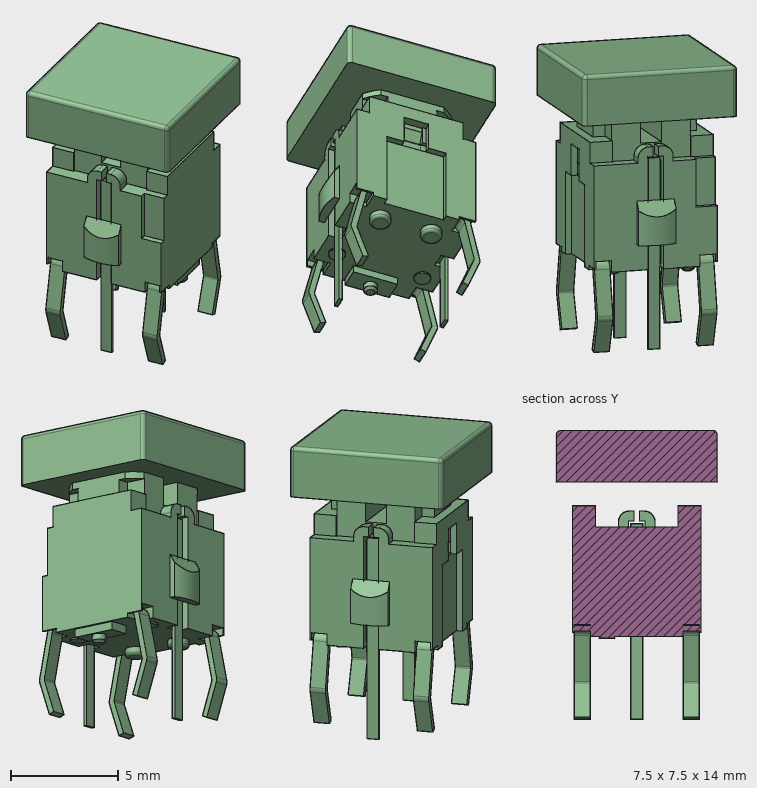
import cadquery as cq
import math


CAP_SIZE = 7.5
CAP_BOTTOM = 7.2
CAP_TOP = 9.6
CAP_ROUND = 0.2

PLUNGER_X = 5.04
PLUNGER_Y = 4.54
PLUNGER_DIAMETER = 5.96
PLUNGER_HEAD_BOTTOM = 6.87
PLUNGER_NOTCH_WIDTH = 1.01
PLUNGER_NOTCH_BOTTOM = 5.9
PLUNGER_NECK_X = 3.84
PLUNGER_NECK_Y = 2.48

BODY_SIZE = 6.0
BODY_HALF = BODY_SIZE / 2
SHOULDER_Z = 5.11
FRAME_TOP = 6.1
FRAME_Y = 4.73
ARCH_WIDTH = 1.71
ARCH_TOP = 5.85
ARCH_RADIUS = 0.5
ARCH_DEPTH = (BODY_SIZE - FRAME_Y) / 2
BASE_THICKNESS = 0.2
CORNER_RECESS_X = 1.97
CORNER_RECESS_BOTTOM = 2.84
WALL_STEP = 0.3

PANEL_WIDTH = 3.0
PANEL_TOP = 3.92
WINDOW_WIDTH = 1.23
WINDOW_TOP = 5.42
LIP_TOP = 4.48
LIP_DEPTH = 0.5
LIP_THICKNESS = 0.05
CAVITY_WIDTH = 1.68
CAVITY_DEPTH = 0.34
LATCH_WIDTH = 0.91
LATCH_TOP = 5.17
LATCH_OFFSET = 0.05
LATCH_ANGLE = 27.0

PIN_WIDTH = 0.56
PIN_THICKNESS = 0.17
PIN_OUTER_Y = 2.76
PIN_TOP = 5.26
LONG_PIN_BOTTOM = -4.4
SHORT_PIN_BOTTOM = -3.85
SLOT_WIDTH = 0.75
SLOT_TOP = 5.38
SLIT_WIDTH = 0.25

WEDGE_WIDTH = 1.82
WEDGE_BOTTOM = 1.23
WEDGE_TOP = 3.3
WEDGE_EDGE_Z = 2.59
WEDGE_REACH = 3.45
WEDGE_SAG = 0.18

LEAD_WIDTH = 0.75
LEAD_THICKNESS = 0.3
LEAD_X = 2.53
LEAD_TOP = 0.55
LEAD_ROOT_Y = 1.96
LEAD_KNEE_Y = 3.28
LEAD_KNEE_Z = -2.14
LEAD_BOTTOM = SHORT_PIN_BOTTOM
LEAD_UPPER_ANGLE = 12.5
LEAD_LOWER_ANGLE = 19.7
LEAD_BEND_RADIUS = 0.27
LEAD_KNEE_RADIUS = 0.14
LEAD_NOTCH_Y = 2.17

STUD_DIAMETER = 1.0
STUD_X = -1.74
STUD_Y = 1.29
STUD_HEIGHT = 0.39
STUD_ROUND = 0.14
BAR_X_MIN = 1.88
BAR_X_MAX = 2.88
BAR_WIDTH = 2.24
PEG_DIAMETER = 0.66
PEG_X = 2.48
PEG_BOTTOM = -0.8
PEG_CHAMFER = 0.13
PAD_DIAMETER = 0.8
PAD_X = 1.39
PAD_Y = 2.15
PAD_HEIGHT = 0.08


def block(x_min, x_max, y_min, y_max, z_min, z_max):
    """Box given by its limits along each axis."""
    size = (x_max - x_min, y_max - y_min, z_max - z_min)
    return cq.Workplane("XY").box(*size, centered=False).translate((x_min, y_min, z_min))


def centered_block(size_x, size_y, z_min, z_max):
    """Box centred on the Z axis."""
    return block(-size_x / 2, size_x / 2, -size_y / 2, size_y / 2, z_min, z_max)


def disc(diameter, x, y, z_min, z_max):
    """Upright cylinder."""
    return cq.Workplane("XY", origin=(x, y, z_min)).circle(diameter / 2).extrude(z_max - z_min)


def both_y(shape):
    """The shape together with its mirror image across the XZ plane."""
    return shape.union(shape.mirror("XZ"))


def both_x(shape):
    """The shape together with its mirror image across the YZ plane."""
    return shape.union(shape.mirror("YZ"))


def make_cap():
    cap = centered_block(CAP_SIZE, CAP_SIZE, CAP_BOTTOM, CAP_TOP)
    return cap.edges("|Z or >Z").fillet(CAP_ROUND)


def make_plunger():
    head = centered_block(PLUNGER_X, PLUNGER_Y, PLUNGER_HEAD_BOTTOM, CAP_BOTTOM)
    head = head.intersect(disc(PLUNGER_DIAMETER, 0, 0, PLUNGER_HEAD_BOTTOM, CAP_BOTTOM))
    stem = centered_block(PLUNGER_NECK_X, PLUNGER_Y, SHOULDER_Z, PLUNGER_HEAD_BOTTOM)
    stem = stem.union(centered_block(PLUNGER_X, PLUNGER_NECK_Y, SHOULDER_Z, PLUNGER_HEAD_BOTTOM))
    notch = centered_block(PLUNGER_NOTCH_WIDTH, BODY_SIZE, PLUNGER_NOTCH_BOTTOM, CAP_BOTTOM)
    return head.union(stem).cut(notch)


def make_arches():
    """Round-shouldered blocks over the pin slots."""
    arch = block(
        -ARCH_WIDTH / 2, ARCH_WIDTH / 2, -BODY_HALF, ARCH_DEPTH - BODY_HALF, SHOULDER_Z, ARCH_TOP
    )
    return both_y(arch.edges("|Y and >Z").fillet(ARCH_RADIUS))


def make_slots():
    """Pin slots, cut deeper at the base and where they cross the arches."""
    front = -BODY_HALF
    floor = PIN_THICKNESS - PIN_OUTER_Y
    back = ARCH_DEPTH - BODY_HALF
    half = SLOT_WIDTH / 2
    slot = block(-half, half, front, floor, 0, SLOT_TOP)
    slot = slot.union(block(-half, half, front, back, 0, BASE_THICKNESS))
    slot = slot.union(block(-half, half, front, back, SHOULDER_Z, SLOT_TOP))
    slot = slot.union(block(-SLIT_WIDTH / 2, SLIT_WIDTH / 2, front, back, SHOULDER_Z, ARCH_TOP))
    return both_y(slot)


def make_lead_notches():
    """Openings at the lower corners that let the leads out of the housing."""
    inner_x = LEAD_X - LEAD_WIDTH / 2
    base = block(inner_x, BODY_HALF, LEAD_NOTCH_Y, BODY_HALF, 0, BASE_THICKNESS)
    outlet = block(inner_x, inner_x + LEAD_WIDTH, LEAD_NOTCH_Y, BODY_HALF, 0, LEAD_TOP)
    return both_x(both_y(base.union(outlet)))


def make_wall_recesses():
    """Panel in the -X wall, with a window above it into the wider latch cavity."""
    wall = -BODY_HALF
    wall_back = wall + WALL_STEP
    cavity_back = wall + CAVITY_DEPTH
    lip_front = wall + LIP_DEPTH
    lip_back = lip_front + LIP_THICKNESS
    latch_front = cavity_back + LATCH_OFFSET

    panel = block(wall, wall_back, -PANEL_WIDTH / 2, PANEL_WIDTH / 2, 0, PANEL_TOP)
    window = block(wall, wall_back, -WINDOW_WIDTH / 2, WINDOW_WIDTH / 2, PANEL_TOP, WINDOW_TOP)
    half = CAVITY_WIDTH / 2
    lower = block(wall_back, lip_front, -half, half, PANEL_TOP, LIP_TOP)
    upper = block(wall_back, cavity_back, -half, half, LIP_TOP, WINDOW_TOP)
    slope_depth = (LATCH_TOP - PANEL_TOP) * math.tan(math.radians(LATCH_ANGLE))
    latch = (
        cq.Workplane("XZ")
        .polyline([
            (wall_back, LIP_TOP),
            (lip_back, LIP_TOP),
            (lip_back, PANEL_TOP),
            (latch_front + slope_depth, PANEL_TOP),
            (latch_front, LATCH_TOP),
            (latch_front, WINDOW_TOP),
            (wall_back, WINDOW_TOP),
        ])
        .close()
        .extrude(LATCH_WIDTH / 2, both=True)
    )
    return panel.union(window).union(lower).union(upper).union(latch)


def make_housing():
    housing = centered_block(BODY_SIZE, BODY_SIZE, 0, SHOULDER_Z)
    frame = centered_block(BODY_SIZE, FRAME_Y, SHOULDER_Z, FRAME_TOP)
    frame = frame.cut(centered_block(PLUNGER_NECK_X, FRAME_Y, SHOULDER_Z, FRAME_TOP))
    corner_recess = block(
        CORNER_RECESS_X, BODY_HALF, -BODY_HALF, WALL_STEP - BODY_HALF, CORNER_RECESS_BOTTOM, SHOULDER_Z
    )
    housing = housing.union(frame).union(make_arches())
    housing = housing.cut(corner_recess).cut(make_slots())
    return housing.cut(make_lead_notches()).cut(make_wall_recesses())


def make_wedges():
    """Retaining wedges with a bowed outer face and a sloping top, bridging the pin slots."""
    half = WEDGE_WIDTH / 2
    bowed = (
        cq.Workplane("XY", origin=(0, 0, WEDGE_BOTTOM))
        .moveTo(-half, BODY_HALF)
        .lineTo(-half, WEDGE_REACH - WEDGE_SAG)
        .threePointArc((0, WEDGE_REACH), (half, WEDGE_REACH - WEDGE_SAG))
        .lineTo(half, BODY_HALF)
        .close()
        .extrude(WEDGE_TOP - WEDGE_BOTTOM)
    )
    profile = (
        cq.Workplane("YZ")
        .polyline([
            (BODY_HALF, WEDGE_BOTTOM),
            (WEDGE_REACH, WEDGE_BOTTOM),
            (WEDGE_REACH, WEDGE_EDGE_Z),
            (BODY_HALF, WEDGE_TOP),
        ])
        .close()
        .extrude(half, both=True)
    )
    return both_y(bowed.intersect(profile))


def make_pins():
    """One long pin on the +Y side and one short pin on the -Y side."""
    half = PIN_WIDTH / 2
    inner_y = PIN_OUTER_Y - PIN_THICKNESS
    long_pin = block(-half, half, inner_y, PIN_OUTER_Y, LONG_PIN_BOTTOM, PIN_TOP)
    short_pin = block(-half, half, -PIN_OUTER_Y, -inner_y, SHORT_PIN_BOTTOM, PIN_TOP)
    return long_pin.union(short_pin)


def make_leads():
    """Flat strips that leave the housing, splay outwards and turn back in at a knee."""
    upper = math.radians(LEAD_UPPER_ANGLE)
    lower = math.radians(LEAD_LOWER_ANGLE)
    t = LEAD_THICKNESS
    bend_y = LEAD_KNEE_Y - (LEAD_TOP - LEAD_KNEE_Z) * math.tan(upper)
    toe_y = LEAD_KNEE_Y - (LEAD_KNEE_Z - LEAD_BOTTOM) * math.tan(lower)
    bend_mitre = t * math.tan((math.pi / 2 - upper) / 2)
    knee_mitre = t / math.cos((upper + lower) / 2)
    knee_tilt = (lower - upper) / 2
    outer = [(LEAD_ROOT_Y, LEAD_TOP), (bend_y, LEAD_TOP), (LEAD_KNEE_Y, LEAD_KNEE_Z), (toe_y, LEAD_BOTTOM)]
    inner = [
        (toe_y - t * math.cos(lower), LEAD_BOTTOM + t * math.sin(lower)),
        (LEAD_KNEE_Y - knee_mitre * math.cos(knee_tilt), LEAD_KNEE_Z + knee_mitre * math.sin(knee_tilt)),
        (bend_y - bend_mitre, LEAD_TOP - t),
        (LEAD_ROOT_Y, LEAD_TOP - t),
    ]
    strip = cq.Workplane("YZ").polyline(outer + inner).close().extrude(LEAD_WIDTH / 2, both=True)
    bends = [
        (outer[1], LEAD_BEND_RADIUS + t),
        (outer[2], LEAD_KNEE_RADIUS + t),
        (inner[1], LEAD_KNEE_RADIUS),
        (inner[2], LEAD_BEND_RADIUS),
    ]
    for corner, radius in bends:
        strip = strip.edges(cq.NearestToPointSelector((0, *corner))).fillet(radius)
    return both_x(both_y(strip.translate((LEAD_X, 0, 0))))


def make_underside():
    stud = disc(STUD_DIAMETER, STUD_X, STUD_Y, -STUD_HEIGHT, 0).faces("<Z").edges().fillet(STUD_ROUND)
    pad = disc(PAD_DIAMETER, PAD_X, PAD_Y, -PAD_HEIGHT, 0)
    bar = block(BAR_X_MIN, BAR_X_MAX, -BAR_WIDTH / 2, BAR_WIDTH / 2, -STUD_HEIGHT, 0)
    peg = disc(PEG_DIAMETER, PEG_X, 0, PEG_BOTTOM, -STUD_HEIGHT).faces("<Z").chamfer(PEG_CHAMFER)
    return both_y(stud.union(pad)).union(bar).union(peg)


result = make_housing()
for component in (make_plunger(), make_cap(), make_wedges(), make_pins(), make_leads(), make_underside()):
    result = result.union(component)